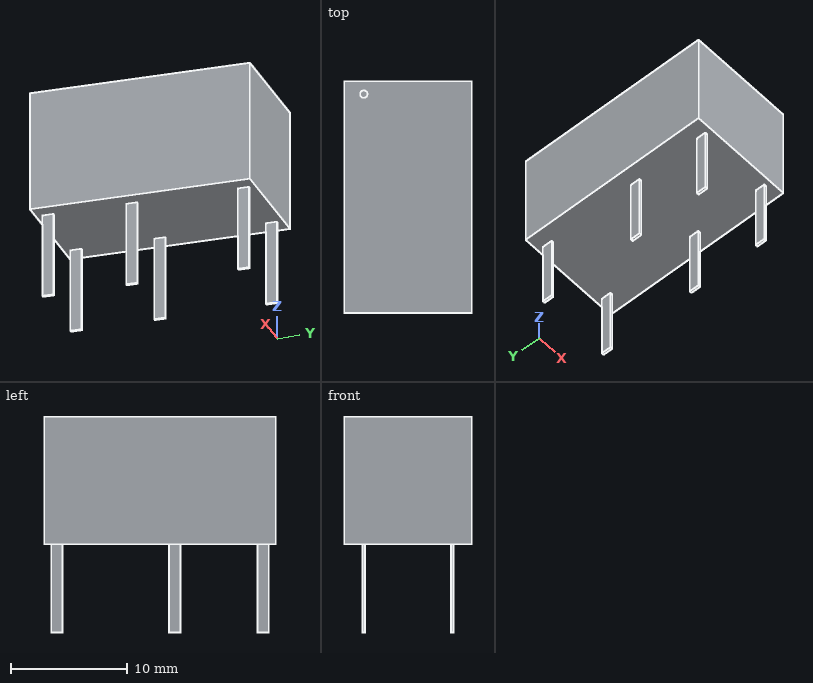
import cadquery as cq

housing_width = 11.0
housing_length = 19.99
housing_height = 11.0

pin_thickness = 0.24
pin_width = 1.0
pin_length = 7.62
column_spacing = 7.62
first_row_gap = 10.15
second_row_gap = 7.62

mark_diameter = 0.64
mark_depth = 0.1

column_xs = [-column_spacing / 2, column_spacing / 2]
back_row_y = (first_row_gap + second_row_gap) / 2
row_ys = [back_row_y, back_row_y - first_row_gap, -back_row_y]


def make_mark():
    """Thin disc inlaid in the top face, above the pin at -X, +Y."""
    return (
        cq.Workplane("XY", origin=(column_xs[0], row_ys[0], housing_height - mark_depth))
        .circle(mark_diameter / 2)
        .extrude(mark_depth)
    )


def make_housing(mark):
    """Block with a recess that holds the mark."""
    block = cq.Workplane("XY").rect(housing_width, housing_length).extrude(housing_height)
    return block.cut(mark)


def make_pin(x, y):
    """Flat pin hanging from the underside of the housing."""
    return (
        cq.Workplane("XY", origin=(x, y, 0))
        .rect(pin_thickness, pin_width)
        .extrude(-pin_length)
    )


mark = make_mark()
housing = make_housing(mark)
pins = [make_pin(x, y) for x in column_xs for y in row_ys]

result = cq.Compound.makeCompound([housing.val(), mark.val(), *[pin.val() for pin in pins]])